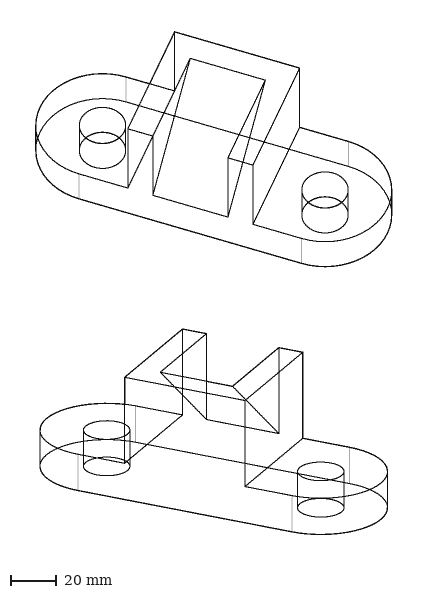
import cadquery as cq

length = 161.5
depth = 58.1
height = 58.1

base_thickness = 17.3
hole_diameter = 20.2
hole_spacing = length - depth

block_width = 58.1
wall_thickness = 11.6
pocket_width = block_width - 2 * wall_thickness
front_y = -depth / 2
pocket_back_y = depth / 2 - wall_thickness


def make_base():
    """Plate with fully rounded ends and a through hole at each end."""
    plate = cq.Workplane("XY").slot2D(length, depth).extrude(base_thickness)
    return (
        plate.faces(">Z").workplane()
        .pushPoints([(-hole_spacing / 2, 0), (hole_spacing / 2, 0)])
        .hole(hole_diameter)
    )


def make_block():
    """Central block standing on the plate, as deep as the plate."""
    return cq.Workplane("XY").box(block_width, depth, height, centered=(True, True, False))


def make_pocket():
    """Wedge open to the front and top; its floor rises from the plate to the back wall."""
    return (
        cq.Workplane("YZ")
        .moveTo(front_y, base_thickness)
        .lineTo(pocket_back_y, height)
        .lineTo(front_y, height)
        .close()
        .extrude(pocket_width / 2, both=True)
    )


result = make_base().union(make_block()).cut(make_pocket())